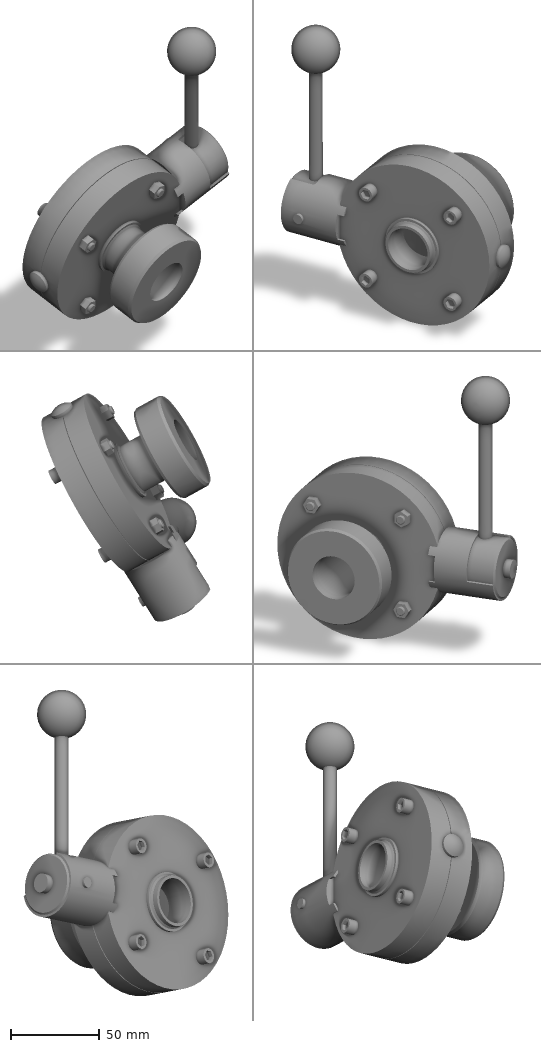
import cadquery as cq
import math


flange_radius = 50.0
flange_face_x = 14.0
flange_gap = 0.5
flange_flat_y = 48.0
pipe_radius = 14.6
bore_radius = 13.0
collar_radius = 17.0
collar_face_x = 15.7
weld_length = 1.0
weld_rise = 1.0
short_pipe_end_x = 20.0

bolt_offset = 27.7
head_radius = 4.3
head_end_x = 20.0
socket_flats = 5.4
socket_depth = 3.0
hex_nut_flats = 8.2
hex_nut_end_x = 18.4
bolt_tip_radius = 2.6
bolt_tip_end_x = 19.8
bolt_tip_chamfer = 0.5

union_radius = 29.0
union_start_x = 34.0
union_end_x = 51.3
union_chamfer_length = 1.6
union_chamfer_depth = 1.0

spindle_radius = 5.4
spindle_end_y = 89.0
disc_thickness = 3.0
disc_dish_radius = 60.0
button_radius = 6.7
button_seat_y = 47.5
button_edge_y = 51.7
button_tip_y = 54.1

sleeve_radius = 18.9
core_radius = 17.5
sleeve_end_y = 84.0
core_end_y = 84.8
core_chamfer = 1.0
tab_end_y = 43.8
tab_inner_z = 8.0
tab_outer_z = 12.5
window_left_angle = 24.0
window_right_angle = 103.0
window_corner_radius = 2.0

rod_radius = 4.0
rod_y = 72.0
ball_radius = 14.0
ball_z = 100.0
pin_radius = 3.0
pin_end_x = 20.5
window_front_y = rod_y - rod_radius

BOLT_ANGLES = (0, 90, 180, 270)


def x_cylinder(radius, start_x, end_x):
    return cq.Workplane("YZ").workplane(offset=start_x).circle(radius).extrude(end_x - start_x)


def y_cylinder(radius, start_y, end_y):
    return cq.Workplane("XZ").workplane(offset=-start_y).circle(radius).extrude(start_y - end_y)


def x_hexagon(flats, start_x, end_x):
    """Hexagonal prism along X with a corner pointing along Y."""
    corners = flats / math.cos(math.pi / 6)
    return cq.Workplane("YZ").workplane(offset=start_x).polygon(6, corners).extrude(end_x - start_x)


def at_bolts(shape):
    """One copy of the shape at each bolt, turned about the pipe axis as a circular pattern."""
    first = shape.translate((0, -bolt_offset, bolt_offset))
    copies = cq.Workplane("YZ")
    for angle in BOLT_ANGLES:
        copies = copies.add(first.rotate((0, 0, 0), (1, 0, 0), angle))
    return copies.combine()


def spindle_blank():
    """Spindle with its domed button on the -Y end, as a solid of revolution."""
    dome_half_x = button_radius / 2
    dome_height = button_tip_y - button_edge_y
    dome_radius = (button_radius**2 + dome_height**2) / (2 * dome_height)
    dome_drop = dome_radius - math.sqrt(dome_radius**2 - dome_half_x**2)
    return (
        cq.Workplane("XY")
        .moveTo(0, spindle_end_y)
        .lineTo(spindle_radius, spindle_end_y)
        .lineTo(spindle_radius, -button_seat_y)
        .lineTo(button_radius, -button_seat_y)
        .lineTo(button_radius, -button_edge_y)
        .threePointArc((dome_half_x, dome_drop - button_tip_y), (0, -button_tip_y))
        .close()
        .revolve(360, (0, 0, 0), (0, 1, 0))
    )


def flange_half(pipe_end_x, has_end_weld):
    """Flange half on the +X side: disc, collar, weld fillet and pipe stub, bored through."""
    weld_radius = pipe_radius + weld_rise
    outline = (
        cq.Workplane("XY")
        .moveTo(flange_gap / 2, bore_radius)
        .lineTo(flange_gap / 2, flange_radius)
        .lineTo(flange_face_x, flange_radius)
        .lineTo(flange_face_x, collar_radius)
        .lineTo(collar_face_x, collar_radius)
        .lineTo(collar_face_x, weld_radius)
        .lineTo(collar_face_x + weld_length, pipe_radius)
    )
    if has_end_weld:
        outline = (
            outline.lineTo(union_start_x - weld_length, pipe_radius)
            .lineTo(union_start_x, weld_radius)
            .lineTo(union_start_x, pipe_radius)
        )
    half = (
        outline.lineTo(pipe_end_x, pipe_radius)
        .lineTo(pipe_end_x, bore_radius)
        .close()
        .revolve(360, (0, 0, 0), (1, 0, 0))
    )
    beyond_flat = cq.Workplane("XY").box(2 * flange_radius, flange_radius, 2 * flange_radius)
    return half.cut(beyond_flat.translate((0, flange_flat_y + flange_radius / 2, 0)))


def make_head_half():
    """Flange half on -X with the short pipe stub and the four socket heads."""
    half = flange_half(short_pipe_end_x, False).mirror("YZ")
    socket = x_hexagon(socket_flats, -head_end_x, socket_depth - head_end_x)
    socket = socket.rotate((0, 0, 0), (1, 0, 0), 90)
    head = x_cylinder(head_radius, -head_end_x, -flange_face_x).cut(socket)
    return half.union(at_bolts(head)).cut(spindle_blank())


def make_nut_half():
    """Flange half on +X with the long pipe stub, the four hex nuts and the bolt tips."""
    half = flange_half(union_end_x, True)
    nut = x_hexagon(hex_nut_flats, flange_face_x, hex_nut_end_x)
    tip = x_cylinder(bolt_tip_radius, flange_face_x, bolt_tip_end_x)
    tip = tip.faces(">X").chamfer(bolt_tip_chamfer)
    return half.union(at_bolts(nut.union(tip))).cut(spindle_blank())


def make_union_nut():
    """Ring on the long pipe stub, chamfered on both outer edges."""
    edge_radius = union_radius - union_chamfer_depth
    return (
        cq.Workplane("XY")
        .moveTo(union_start_x, pipe_radius)
        .lineTo(union_start_x, edge_radius)
        .lineTo(union_start_x + union_chamfer_length, union_radius)
        .lineTo(union_end_x - union_chamfer_length, union_radius)
        .lineTo(union_end_x, edge_radius)
        .lineTo(union_end_x, pipe_radius)
        .close()
        .revolve(360, (0, 0, 0), (1, 0, 0))
    )


def make_disc_spindle():
    """Closing disc, dished on both faces, in one piece with its spindle."""
    disc = x_cylinder(bore_radius, -flange_face_x, flange_face_x)
    spindle = spindle_blank().cut(disc)
    for side in (-1, 1):
        dish_x = side * (disc_thickness / 2 + disc_dish_radius)
        dish = (
            cq.Workplane("XY")
            .workplane(offset=-flange_radius)
            .center(dish_x, 0)
            .circle(disc_dish_radius)
            .extrude(2 * flange_radius)
        )
        disc = disc.cut(dish)
    return spindle.union(disc)


def hub_direction(angle, length):
    """Point in the XZ plane at an angle measured from +Z toward +X."""
    return (length * math.sin(math.radians(angle)), length * math.cos(math.radians(angle)))


def lever_window():
    """Sector cut out of the sleeve, open to its back end, in which the lever swings."""
    reach = 2 * sleeve_radius
    middle_angle = (window_right_angle - window_left_angle) / 2
    return (
        cq.Workplane("XZ")
        .workplane(offset=-window_front_y)
        .polyline(
            [
                (0, 0),
                hub_direction(-window_left_angle, reach),
                hub_direction(middle_angle, reach),
                hub_direction(window_right_angle, reach),
            ]
        )
        .close()
        .extrude(window_front_y - core_end_y)
    )


def make_sleeve():
    """Fixed tube with two pairs of tabs that straddle the flanges."""
    tube = y_cylinder(sleeve_radius, tab_end_y, sleeve_end_y)
    tube = tube.cut(y_cylinder(core_radius, tab_end_y, sleeve_end_y))

    tab_length = flange_flat_y - tab_end_y
    tab_middle_y = tab_end_y + tab_length / 2
    front_waste = y_cylinder(sleeve_radius, tab_end_y, flange_flat_y)
    for side in (-1, 1):
        tab_pair = cq.Workplane("XY").box(2 * sleeve_radius, tab_length, tab_outer_z - tab_inner_z)
        tab_z = side * (tab_inner_z + tab_outer_z) / 2
        front_waste = front_waste.cut(tab_pair.translate((0, tab_middle_y, tab_z)))
    flange_space = cq.Workplane("XY").box(2 * flange_face_x, tab_length, 2 * sleeve_radius)
    front_waste = front_waste.union(flange_space.translate((0, tab_middle_y, 0)))
    tube = tube.cut(front_waste)

    tube = tube.cut(lever_window())
    corner_x, corner_z = hub_direction(-window_left_angle, (sleeve_radius + core_radius) / 2)
    corner = cq.selectors.NearestToPointSelector((corner_x, window_front_y, corner_z))
    tube = tube.edges(corner).fillet(window_corner_radius)
    return tube.cut(x_cylinder(pin_radius, -pin_end_x, 0).translate((0, rod_y, 0)))


def make_lever():
    """Turning core with its rod, ball and index pin, bored for the spindle."""
    core = y_cylinder(core_radius, flange_flat_y, core_end_y).faces(">Y").chamfer(core_chamfer)
    rod = cq.Workplane("XY").center(0, rod_y).circle(rod_radius).extrude(ball_z)
    ball = cq.Workplane("XY").sphere(ball_radius).translate((0, rod_y, ball_z))
    pin = x_cylinder(pin_radius, -pin_end_x, 0).translate((0, rod_y, 0))
    return core.union(rod).union(ball).union(pin).cut(spindle_blank())


head_half = make_head_half()
nut_half = make_nut_half()
union_nut = make_union_nut()
disc_spindle = make_disc_spindle()
sleeve = make_sleeve()
lever = make_lever()

result = cq.Compound.makeCompound(
    [
        head_half.solids().val(),
        nut_half.solids().val(),
        union_nut.solids().val(),
        disc_spindle.solids().val(),
        sleeve.solids().val(),
        lever.solids().val(),
    ]
)